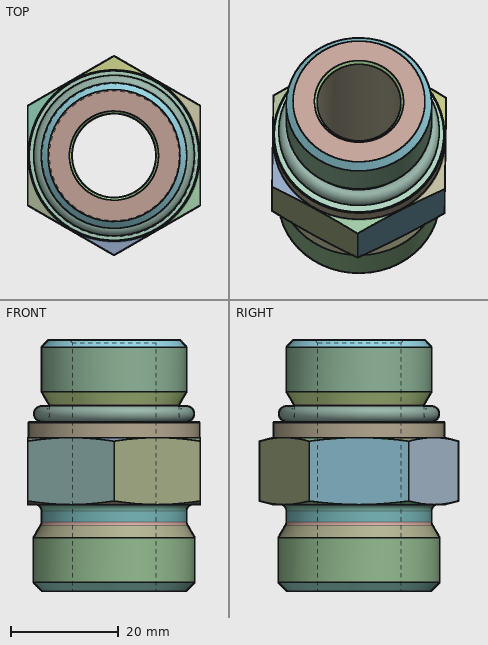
import cadquery as cq
import math

total_height = 46.6
hex_bottom = 16.1
hex_top = 28.45
collar_top = 31.45
upper_thread_bottom = 37.0
lower_thread_top = 9.93

bore_diameter = 15.5
groove_diameter = 24.0
upper_thread_diameter = 27.0
lower_thread_diameter = 30.0
neck_diameter = 27.0
collar_diameter = 31.8

across_flats = 32.0
hex_chamfer_angle = 15.0

upper_chamfer_width = 1.25
upper_chamfer_height = 1.35
lower_chamfer = 1.65
bore_chamfer = 0.5
collar_chamfer = 0.2
thread_runout_angle = 30.0
neck_fillet = 1.15
runout_fillet = 1.15

seal_section_diameter = 2.9


def runout_height(large_diameter, small_diameter):
    """Axial length of the cone between a thread and its undercut."""
    return (large_diameter - small_diameter) / 2 / math.tan(math.radians(thread_runout_angle))


def runout_corner(large_diameter, small_diameter, thread_end, direction):
    """Rounded corner between a runout cone and its undercut, as (radius, height) points.

    Returns the end of the cone, the middle of the arc and the start of the undercut.
    The direction is 1 for an undercut above the thread and -1 for one below it.
    """
    small_radius = small_diameter / 2
    turn = math.radians(thread_runout_angle)
    tangent = runout_fillet * math.tan(turn / 2)
    undercut_start = runout_height(large_diameter, small_diameter) + tangent

    def arc_point(angle):
        radius = small_radius + runout_fillet * (1 - math.cos(angle))
        distance = undercut_start - runout_fillet * math.sin(angle)
        return (radius, thread_end + direction * distance)

    return arc_point(turn), arc_point(turn / 2), arc_point(0)


def make_lower_end():
    """Lower thread with its runout, and the neck blended into the hexagon."""
    thread_radius = lower_thread_diameter / 2
    neck_radius = neck_diameter / 2
    cone_end, arc_middle, neck_start = runout_corner(
        lower_thread_diameter, neck_diameter, lower_thread_top, 1
    )
    diagonal = neck_fillet * math.sqrt(0.5)
    return (
        cq.Workplane("XZ")
        .moveTo(0, 0)
        .lineTo(thread_radius - lower_chamfer, 0)
        .lineTo(thread_radius, lower_chamfer)
        .lineTo(thread_radius, lower_thread_top)
        .lineTo(*cone_end)
        .threePointArc(arc_middle, neck_start)
        .lineTo(neck_radius, hex_bottom - neck_fillet)
        .threePointArc(
            (neck_radius + neck_fillet - diagonal, hex_bottom - neck_fillet + diagonal),
            (neck_radius + neck_fillet, hex_bottom),
        )
        .lineTo(0, hex_bottom)
        .close()
        .revolve(360, (0, 0, 0), (0, 1, 0))
    )


def make_hexagon():
    """Hexagon with corners on +Y and -Y, bevelled conically at both ends."""
    across_corners = across_flats / math.cos(math.radians(30))
    flat_radius = across_flats / 2
    corner_radius = across_corners / 2
    drop = (corner_radius - flat_radius) * math.tan(math.radians(hex_chamfer_angle))
    prism = (
        cq.Workplane("XY", origin=(0, 0, hex_bottom))
        .transformed(rotate=(0, 0, 90))
        .polygon(6, across_corners)
        .extrude(hex_top - hex_bottom)
    )
    bevel = (
        cq.Workplane("XZ")
        .polyline([
            (0, hex_bottom),
            (flat_radius, hex_bottom),
            (corner_radius, hex_bottom + drop),
            (corner_radius, hex_top - drop),
            (flat_radius, hex_top),
            (0, hex_top),
        ])
        .close()
        .revolve(360, (0, 0, 0), (0, 1, 0))
    )
    return prism.intersect(bevel)


def make_upper_end():
    """Collar, seal groove and upper thread above the hexagon."""
    collar_radius = collar_diameter / 2
    groove_radius = groove_diameter / 2
    thread_radius = upper_thread_diameter / 2
    cone_end, arc_middle, groove_end = runout_corner(
        upper_thread_diameter, groove_diameter, upper_thread_bottom, -1
    )
    return (
        cq.Workplane("XZ")
        .moveTo(0, hex_top)
        .lineTo(collar_radius, hex_top)
        .lineTo(collar_radius, collar_top - collar_chamfer)
        .lineTo(collar_radius - collar_chamfer, collar_top)
        .lineTo(groove_radius, collar_top)
        .lineTo(*groove_end)
        .threePointArc(arc_middle, cone_end)
        .lineTo(thread_radius, upper_thread_bottom)
        .lineTo(thread_radius, total_height - upper_chamfer_height)
        .lineTo(thread_radius - upper_chamfer_width, total_height)
        .lineTo(0, total_height)
        .close()
        .revolve(360, (0, 0, 0), (0, 1, 0))
    )


def make_bore():
    """Through bore with a chamfered upper mouth, as a cutting tool."""
    bore_radius = bore_diameter / 2
    return (
        cq.Workplane("XZ")
        .polyline([
            (0, 0),
            (bore_radius, 0),
            (bore_radius, total_height - bore_chamfer),
            (bore_radius + bore_chamfer, total_height),
            (0, total_height),
        ])
        .close()
        .revolve(360, (0, 0, 0), (0, 1, 0))
    )


def make_fitting():
    """Complete threaded fitting body."""
    return make_lower_end().union(make_hexagon()).union(make_upper_end()).cut(make_bore())


def make_seal():
    """O-ring touching the groove wall and resting on the collar."""
    section_radius = seal_section_diameter / 2
    ring_radius = groove_diameter / 2 + section_radius
    return cq.Workplane("XY").add(
        cq.Solid.makeTorus(
            ring_radius,
            section_radius,
            cq.Vector(0, 0, collar_top + section_radius),
            cq.Vector(0, 0, 1),
        )
    )


fitting = make_fitting()
seal = make_seal()

result = cq.Compound.makeCompound([fitting.val(), seal.val()])